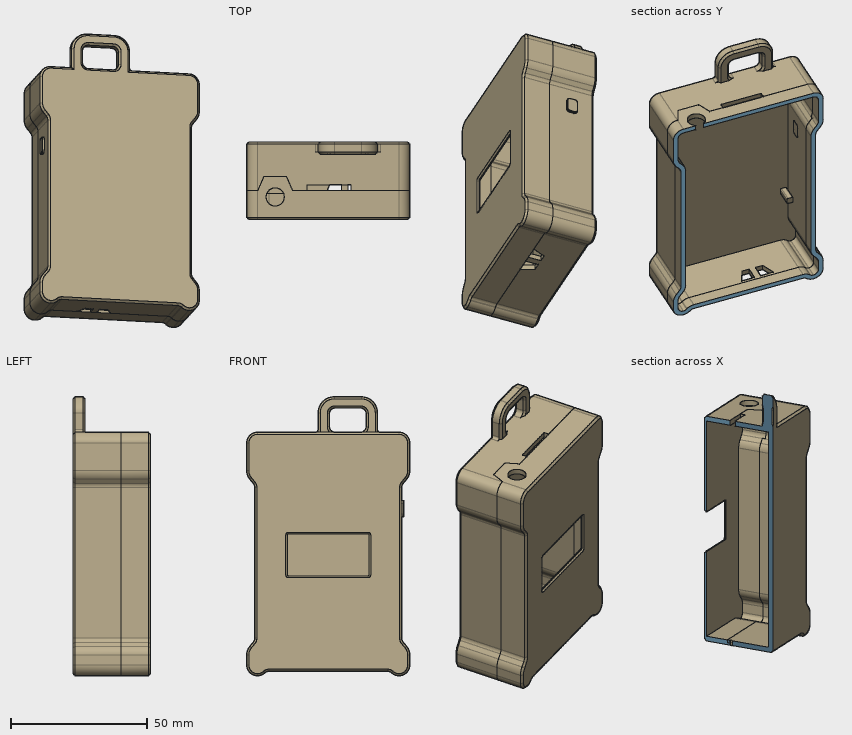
import cadquery as cq
import math

WIDTH = 60.0
DEPTH = 28.5
HEIGHT = 102.5
EDGE_CHAMFER = 0.8

CASE_HEIGHT = 89.5
WAIST_INSET = 3.0
FOOT_HEIGHT = 1.6
UPPER_BULGE_BOTTOM = 73.6
WAIST_TOP = 70.0
WAIST_BOTTOM = 13.0
LOWER_BULGE_TOP = 9.4
FOOT_FLAT_WIDTH = 5.5
FOOT_WIDTH = 7.4
CORNER_RADIUS = 4.0
BULGE_RADIUS = 4.9
WAIST_RADIUS = 2.5
FOOT_BLEND_RADIUS = 2.0

WALL = 2.0
FRONT_WALL = 1.0
SEAM_Y = 10.8
TONGUE_DEPTH = 1.1
TONGUE_THICKNESS = WALL / 2

TAB_X = -19.5
TAB_BASE_WIDTH = 12.7
TAB_TIP_WIDTH = 8.3
TAB_HEIGHT = 5.0
CABLE_HOLE_DIAMETER = 6.7
CABLE_HOLE_Y = 8.3

SLOT_X = 0.26
SLOT_WIDTH = 16.1
SLOT_HEIGHT = 1.9
PORT_X = 6.0
PORT_WEB_WIDTH = 2.5

WINDOW_WIDTH = 30.0
WINDOW_HEIGHT = 15.4
WINDOW_Z = 44.4
WINDOW_RADIUS = 0.4
WINDOW_CHAMFER = 0.6

LOOP_X = 7.2
LOOP_WIDTH = 21.8
LOOP_THICKNESS = 4.5
LOOP_BAR = 4.2
LOOP_OUTER_RADIUS = 5.9
LOOP_EYE_RADIUS = 2.0
LOOP_FLARE = 1.0

POST_SIZE = 2.5
POST_LENGTH = 6.2
POST_X = 23.1
POST_EDGE_RADIUS = 0.4
POST_Z = 27.2

BUTTON_LENGTH = 6.0
BUTTON_WIDTH = 4.1
BUTTON_RADIUS = 1.1
BUTTON_PROTRUSION = 0.8
BUTTON_CHAMFER = 0.2
BUTTON_Y = (SEAM_Y + DEPTH) / 2
BUTTON_Z = 61.4

HALF_WIDTH = WIDTH / 2
WAIST_X = HALF_WIDTH - WAIST_INSET


def block(x_range, y_range, z_range):
    """Axis-aligned box between pairs of limits."""
    size = [high - low for low, high in (x_range, y_range, z_range)]
    corner = cq.Vector(x_range[0], y_range[0], z_range[0])
    return cq.Workplane(cq.Solid.makeBox(*size, corner))


def extrude_back(wire, y_start, y_end):
    """Extrude a closed wire lying in the plane Y = 0 from y_start to y_end."""
    solid = cq.Solid.extrudeLinear(wire, [], cq.Vector(0, y_end - y_start, 0))
    return cq.Workplane(solid.translate(cq.Vector(0, y_start, 0)))


def outline_wire():
    """Rounded case outline in XZ, mirrored from corners given as (side inset, Z, radius)."""
    corners = [
        (FOOT_WIDTH, FOOT_HEIGHT, FOOT_BLEND_RADIUS),
        (FOOT_FLAT_WIDTH, 0, CORNER_RADIUS),
        (0, 0, CORNER_RADIUS),
        (0, LOWER_BULGE_TOP, BULGE_RADIUS),
        (WAIST_INSET, WAIST_BOTTOM, WAIST_RADIUS),
        (WAIST_INSET, WAIST_TOP, WAIST_RADIUS),
        (0, UPPER_BULGE_BOTTOM, BULGE_RADIUS),
        (0, CASE_HEIGHT, CORNER_RADIUS),
    ]
    right = [(HALF_WIDTH - inset, z, radius) for inset, z, radius in corners]
    left = [(-x, z, radius) for x, z, radius in reversed(right)]
    points = right + left
    wire = cq.Wire.makePolygon([cq.Vector(x, 0, z) for x, z, _ in points], close=True)
    for x, z, radius in points:
        target = cq.Vector(x, 0, z)
        vertex = min(wire.Vertices(), key=lambda v: (v.Center() - target).Length)
        wire = wire.fillet2D(radius, [vertex])
    return wire


def inner_wire(wall):
    """Case outline moved inward by a wall thickness."""
    return outline_wire().offset2D(-wall, "arc")[0]


def make_shell():
    """Hollow case, chamfered around the front and back faces."""
    outside = extrude_back(outline_wire(), 0, DEPTH)
    outside = outside.faces("<Y or >Y").chamfer(EDGE_CHAMFER)
    return outside.cut(extrude_back(inner_wire(WALL), FRONT_WALL, DEPTH - WALL))


def make_tongue():
    """Locating rim on the inner half of the side and bottom walls, just in front of the seam."""
    y_range = (SEAM_Y - TONGUE_DEPTH, SEAM_Y)
    rim = extrude_back(inner_wire(WALL - TONGUE_THICKNESS), *y_range)
    rim = rim.cut(extrude_back(inner_wire(WALL), *y_range))
    return rim.cut(block((-HALF_WIDTH, HALF_WIDTH), y_range, (UPPER_BULGE_BOTTOM, CASE_HEIGHT)))


def make_tab():
    """Tab of the cover, filling a trapezium of the top wall behind the seam."""
    return tapered_prism(TAB_X, CASE_HEIGHT - WALL, CASE_HEIGHT)


def tapered_prism(x_centre, z_start, z_end):
    """Trapezium rising in +Y from the seam, extruded through a top or bottom wall."""
    half_base = TAB_BASE_WIDTH / 2
    half_tip = TAB_TIP_WIDTH / 2
    return (
        cq.Workplane("XY", origin=(x_centre, SEAM_Y, z_start))
        .polyline([(-half_base, 0), (half_base, 0), (half_tip, TAB_HEIGHT), (-half_tip, TAB_HEIGHT)])
        .close()
        .extrude(z_end - z_start)
    )


def make_loop():
    """Hanging loop, its eye chamfered on both faces and its foot flared onto the case top."""
    foot_z = CASE_HEIGHT - WALL
    y_front = DEPTH - LOOP_THICKNESS
    half_width = LOOP_WIDTH / 2
    x_range = (LOOP_X - half_width, LOOP_X + half_width)
    loop = block(x_range, (y_front, DEPTH), (foot_z, HEIGHT))
    loop = loop.edges("|Y and >Z").fillet(LOOP_OUTER_RADIUS)

    half_eye = half_width - LOOP_BAR
    eye_range = (LOOP_X - half_eye, LOOP_X + half_eye)
    eye = block(eye_range, (y_front, DEPTH), (CASE_HEIGHT, HEIGHT - LOOP_BAR))
    eye = eye.edges("|Y").fillet(LOOP_EYE_RADIUS)
    loop = loop.cut(eye)
    loop = loop.faces("<Y or >Y").edges("not <Z").chamfer(EDGE_CHAMFER)

    for side in (-1, 1):
        loop = loop.union(make_flare(side))
    return loop


def make_flare(side):
    """Concave fillet between one outer flank of the loop and the case top."""
    flank_x = LOOP_X + side * LOOP_WIDTH / 2
    length = LOOP_THICKNESS - 2 * EDGE_CHAMFER
    arc_middle = LOOP_FLARE * (1 - math.sqrt(0.5))
    return (
        cq.Workplane("XZ", origin=(flank_x, DEPTH - EDGE_CHAMFER, CASE_HEIGHT))
        .lineTo(side * LOOP_FLARE, 0)
        .threePointArc((side * arc_middle, arc_middle), (0, LOOP_FLARE))
        .close()
        .extrude(length)
    )


def make_window():
    """Cutter for the display window, reaching through the front wall."""
    return (
        cq.Workplane("XZ", origin=(0, 0, WINDOW_Z))
        .rect(WINDOW_WIDTH, WINDOW_HEIGHT)
        .extrude(-FRONT_WALL)
        .edges("|Y")
        .fillet(WINDOW_RADIUS)
    )


def make_post():
    """Square support post standing on the inside of the back wall."""
    half = POST_SIZE / 2
    y_back = DEPTH - WALL
    post = block(
        (POST_X - half, POST_X + half), (y_back - POST_LENGTH, y_back), (POST_Z - half, POST_Z + half)
    )
    return post.edges("|Y").fillet(POST_EDGE_RADIUS)


def make_button():
    """Rounded push button passing through the right wall."""
    return (
        cq.Workplane("YZ", origin=(WAIST_X - WALL, BUTTON_Y, BUTTON_Z))
        .rect(BUTTON_WIDTH, BUTTON_LENGTH)
        .extrude(WALL + BUTTON_PROTRUSION)
        .edges("|X")
        .fillet(BUTTON_RADIUS)
        .faces(">X")
        .chamfer(BUTTON_CHAMFER)
    )


def make_cover():
    """Front cover with window, and a tab on its top wall that carries the cable hole."""
    window = make_window()
    rim_x = WINDOW_WIDTH / 2 + WINDOW_CHAMFER
    rim_z = WINDOW_HEIGHT / 2 + WINDOW_CHAMFER
    window_rim = cq.selectors.BoxSelector(
        (-rim_x, -WINDOW_CHAMFER, WINDOW_Z - rim_z),
        (rim_x, WINDOW_CHAMFER, WINDOW_Z + rim_z),
    )
    front_space = block((-WIDTH, WIDTH), (-DEPTH, SEAM_Y), (-HEIGHT, HEIGHT))
    shell = make_shell()
    cover = shell.intersect(front_space).union(shell.intersect(make_tab()))
    cable_hole = (
        cq.Workplane("XY", origin=(TAB_X, CABLE_HOLE_Y, CASE_HEIGHT - WALL))
        .circle(CABLE_HOLE_DIAMETER / 2)
        .extrude(WALL)
    )
    cover = cover.cut(make_tongue()).cut(cable_hole).cut(window)
    return cover.faces("<Y").edges(window_rim).chamfer(WINDOW_CHAMFER)


def make_housing(button):
    """Rear housing with hanging loop, card slot, split port, post and button hole."""
    rear_space = block((-WIDTH, WIDTH), (SEAM_Y, 2 * DEPTH), (-HEIGHT, HEIGHT))
    housing = make_shell().intersect(rear_space).cut(make_tab())
    housing = housing.union(make_tongue()).union(make_loop()).union(make_post())

    half_slot = SLOT_WIDTH / 2
    card_slot = block(
        (SLOT_X - half_slot, SLOT_X + half_slot),
        (SEAM_Y, SEAM_Y + SLOT_HEIGHT),
        (CASE_HEIGHT - WALL, CASE_HEIGHT),
    )
    port_top = FOOT_HEIGHT + WALL
    half_web = PORT_WEB_WIDTH / 2
    port_web = block(
        (PORT_X - half_web, PORT_X + half_web), (SEAM_Y, SEAM_Y + TAB_HEIGHT), (FOOT_HEIGHT, port_top)
    )
    port = tapered_prism(PORT_X, FOOT_HEIGHT, port_top).cut(port_web)
    return housing.cut(card_slot).cut(port).cut(button)


button = make_button()
cover = make_cover()
housing = make_housing(button)

result = cq.Compound.makeCompound([*cover.solids().vals(), *housing.solids().vals(), button.val()])